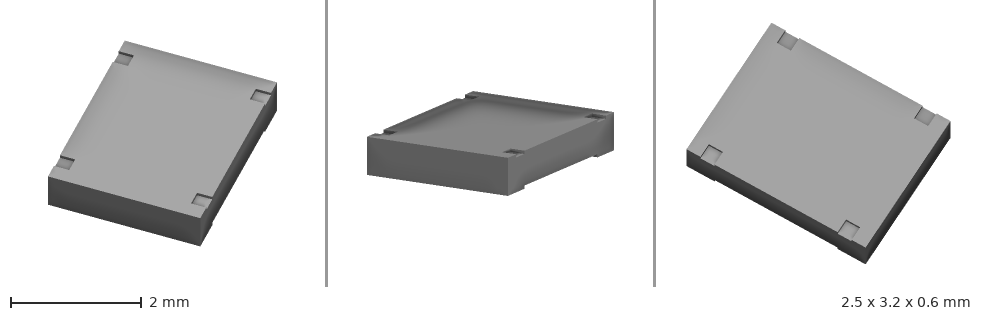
import cadquery as cq

width = 2.5
length = 3.2
height = 0.6

terminal_length = 0.5
notch_size = 0.25
step_depth = 0.05

body_length = length - 2 * terminal_length


def make_body():
    """Plain block resting on Z = 0, centred in X and Y."""
    return cq.Workplane("XY").box(width, length, height, centered=(True, True, False))


def make_underside_recess():
    """Full-width relief between the two terminal feet."""
    return cq.Workplane("XY").box(width, body_length, step_depth, centered=(True, True, False))


def make_corner_notches():
    """Four shallow square notches beside the inner edges of the terminals."""
    x_spacing = width - notch_size
    y_spacing = body_length + notch_size
    return (
        cq.Workplane("XY", origin=(0, 0, height - step_depth))
        .rarray(x_spacing, y_spacing, 2, 2)
        .rect(notch_size, notch_size)
        .extrude(step_depth)
    )


result = make_body().cut(make_underside_recess()).cut(make_corner_notches())